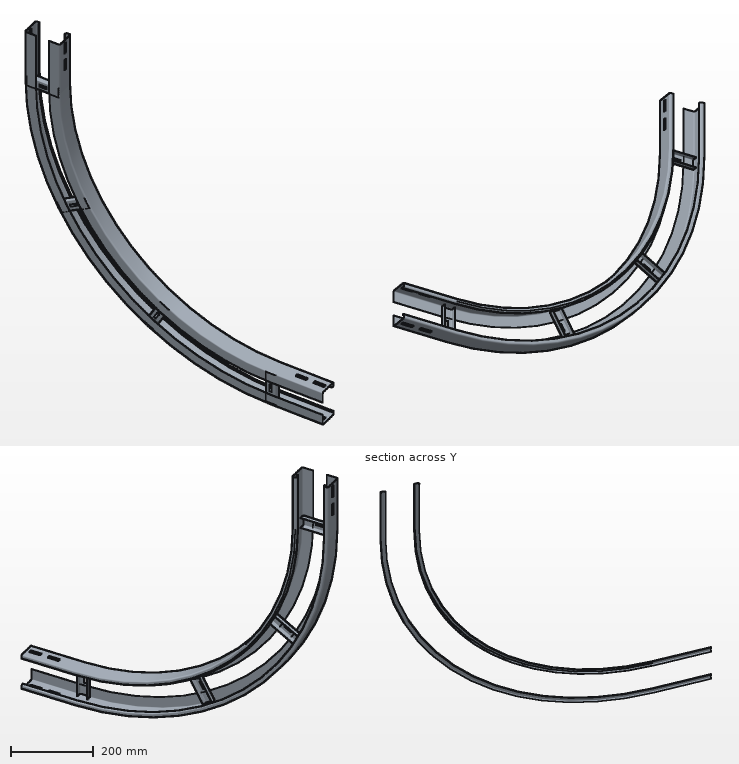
import cadquery as cq


overall = 850.0
leg_length = 150.0
outer_radius = overall - leg_length
ladder_width = 100.0
inner_radius = outer_radius - ladder_width
bend_angle = 90.0

rail_height = 50.0
sheet = 1.5
bend_radius = 4.0
front_flange = 31.5
back_flange = 14.0
lip_depth = 8.0

slot_length = 30.0
slot_width = 8.0
slot_end_offset = 25.0
slot_pitch = 51.0
slots_per_leg = 2

rung_count = 4
rung_width = 30.0
rung_depth = 15.0
rung_bend_radius = 2.5
rung_end_gap = 5.0
rung_slot_length = 20.0
rung_slot_width = 6.0

front_y = -rail_height / 2
back_y = rail_height / 2


def rail_section(web_radius, inward):
    """Folded section on the XY plane: front flange, web, back flange and lip.

    inward is +1 when the flanges point toward the bend axis and -1 when they point away.
    """
    inner_bend = bend_radius - sheet

    def at(depth, y):
        return (-web_radius + inward * depth, y)

    return (
        cq.Workplane("XY")
        .moveTo(*at(front_flange, front_y))
        .lineTo(*at(bend_radius, front_y))
        .tangentArcPoint(at(0, front_y + bend_radius), relative=False)
        .lineTo(*at(0, back_y - bend_radius))
        .tangentArcPoint(at(bend_radius, back_y), relative=False)
        .lineTo(*at(back_flange - bend_radius, back_y))
        .tangentArcPoint(at(back_flange, back_y - bend_radius), relative=False)
        .lineTo(*at(back_flange, back_y - lip_depth))
        .lineTo(*at(back_flange - sheet, back_y - lip_depth))
        .lineTo(*at(back_flange - sheet, back_y - bend_radius))
        .tangentArcPoint(at(back_flange - sheet - inner_bend, back_y - sheet), relative=False)
        .lineTo(*at(bend_radius, back_y - sheet))
        .tangentArcPoint(at(sheet, back_y - bend_radius), relative=False)
        .lineTo(*at(sheet, front_y + bend_radius))
        .tangentArcPoint(at(bend_radius, front_y + sheet), relative=False)
        .lineTo(*at(front_flange, front_y + sheet))
        .close()
    )


def turn(shape, angle):
    """Carry a shape round the bend, from the -X side toward -Z."""
    return shape.rotate((0, 0, 0), (0, 1, 0), -angle)


def leg_slots(web_radius, direction):
    """Cutters for the slots through the web of a leg that runs along +Z or -Z."""
    centres = [
        (0, direction * (leg_length - slot_end_offset - i * slot_pitch))
        for i in range(slots_per_leg)
    ]
    return (
        cq.Workplane("YZ", origin=(-web_radius, 0, 0))
        .pushPoints(centres)
        .rect(slot_width, slot_length)
        .extrude(2 * sheet, both=True)
    )


def rail(web_radius, inward):
    """Side rail: straight leg, quarter bend, straight leg, with the seams between them kept as edges."""

    def leg(direction):
        blank = rail_section(web_radius, inward).extrude(direction * leg_length)
        return blank.cut(leg_slots(web_radius, direction))

    bend = rail_section(web_radius, inward).revolve(bend_angle, (0, 0), (0, -1))
    return leg(1).union(bend, clean=False).union(turn(leg(-1), bend_angle), clean=False)


def rung(angle):
    """U-channel lying against the front flanges, open to the back, with a slot along its middle."""
    length = ladder_width - 2 * rung_end_gap
    mid_radius = (outer_radius + inner_radius) / 2
    y_base = front_y + sheet
    channel = (
        cq.Workplane("XY")
        .box(length, rung_depth, rung_width, centered=(True, False, True))
        .edges("|X and <Y")
        .fillet(rung_bend_radius)
    )
    hollow = (
        cq.Workplane("XY")
        .box(length, rung_depth, rung_width - 2 * sheet, centered=(True, False, True))
        .edges("|X and <Y")
        .fillet(rung_bend_radius - sheet)
        .translate((0, sheet, 0))
    )
    slot = cq.Workplane("XY").box(rung_slot_length, rung_depth, rung_slot_width)
    placed = channel.cut(hollow).cut(slot).translate((-mid_radius, y_base, 0))
    return turn(placed, angle)


outer_rail = rail(outer_radius, 1)
inner_rail = rail(inner_radius, -1)
rungs = [rung(i * bend_angle / (rung_count - 1)) for i in range(rung_count)]

result = cq.Compound.makeCompound(
    [outer_rail.val(), inner_rail.val(), *[r.val() for r in rungs]]
)